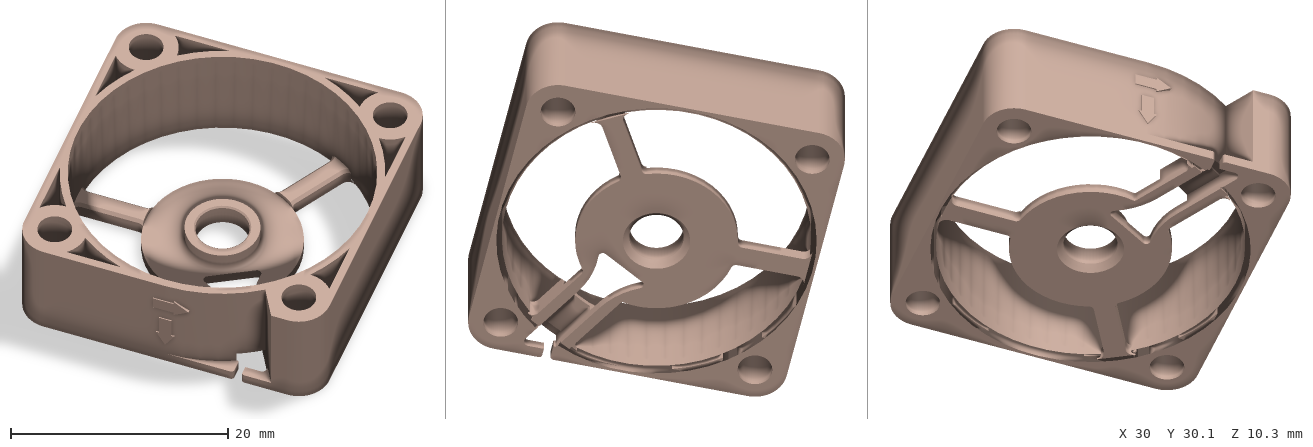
import cadquery as cq
import math

SIDE = 30.0
HEIGHT = 10.3
CORNER_RADIUS = 3.0
HOLE_DIAMETER = 3.2
BORE_RADIUS = 14.25
BORE_FILLET = 0.5
RIM_RADIUS = SIDE / 2
LEDGE_HEIGHT = 1.0
SKIN = SIDE / 2 - BORE_RADIUS
HOLE_OFFSET = SIDE / 2 - CORNER_RADIUS

HUB_RADIUS = 7.5
HUB_HEIGHT = 1.0
BOSS_RADIUS = 3.5
BOSS_TOP = 2.7
BOSS_FILLET = 0.5
BEARING_RADIUS = 2.5
BEARING_TOP_CHAMFER = 0.15
BEARING_BOTTOM_CHAMFER = 0.6

SPOKE_ANGLES = (60, 180)
SPOKE_HALF_WIDTH = 1.0
SPOKE_HEIGHT = 1.5
SPOKE_CHAMFER = 0.28
SPOKE_HUB_FLARE = 0.5
SPOKE_RIM_FLARE = 0.8
RIM_OVERLAP = 0.05

CABLE_ANGLE = -60
CABLE_CENTER = 0.15
CABLE_HALF_WIDTH = 1.35
CABLE_SPOKE_HALF_WIDTH = 2.4
CABLE_SPOKE_HUB_FLARE = 0.4
CABLE_SPOKE_RIM_FLARE = 0.7
BRIDGE_RADIUS = 10.4
BRIDGE_TOP = 2.2
BRIDGE_UNDERSIDE = 1.7
NOTCH_TOP = 1.95
WINDOW_START = 4.25
WINDOW_WAIST = 9.0
WINDOW_HALF_WIDTH = 3.1
WINDOW_FILLET = 0.4
CABLE_EDGE = CABLE_CENTER + CABLE_HALF_WIDTH

SLIT_START = 6.67
SLIT_WIDTH = 0.8
LIP_THICKNESS = 1.0
LIP_LEFT_FILLET = 0.3
LIP_BACK_FILLET = 0.12
LIP_RIGHT_FILLET = 0.25
LIP_INNER_FILLET = 0.5

ARROW_RELIEF = 0.1
ARROW_DEPTH = 0.4
ARROW_SHAFT_LENGTH = 2.05
ARROW_SHAFT_WIDTH = 1.2
ARROW_HEAD_LENGTH = 1.45
ARROW_HEAD_WIDTH = 1.8
FLOW_ARROW_TAIL = (0.0, 5.8)
SPIN_ARROW_TAIL = (-1.2, 7.65)


def cylinder(radius, bottom, top):
    return cq.Workplane("XY").workplane(offset=bottom).circle(radius).extrude(top - bottom)


def box(x_range, y_range, z_range):
    size = [end - start for start, end in (x_range, y_range, z_range)]
    corner = (x_range[0], y_range[0], z_range[0])
    return cq.Workplane("XY").box(*size, centered=False).translate(corner)


def turned(shape, angle):
    return shape.rotate((0, 0, 0), (0, 0, 1), angle)


def frame_block():
    block = cq.Workplane("XY").rect(SIDE, SIDE).extrude(HEIGHT).edges("|Z").fillet(CORNER_RADIUS)
    block = block.cut(cylinder(BORE_RADIUS, 0, HEIGHT))
    largest = cq.selectors.RadiusNthSelector(-1)
    return block.faces("<Z").edges("%CIRCLE").edges(largest).fillet(BORE_FILLET)


def mounting_holes():
    spacing = 2 * HOLE_OFFSET
    centers = cq.Workplane("XY").rect(spacing, spacing, forConstruction=True).vertices()
    return centers.circle(HOLE_DIAMETER / 2).extrude(HEIGHT)


def corner_pockets():
    """Seven three-sided pockets between ring wall, screw bosses and outer skin."""
    outer = SIDE / 2 - SKIN
    pocket = box((0, HOLE_OFFSET), (HOLE_OFFSET - CORNER_RADIUS, outer), (LEDGE_HEIGHT, HEIGHT))
    pocket = pocket.cut(cylinder(RIM_RADIUS, 0, HEIGHT))
    screw_boss = cylinder(CORNER_RADIUS, 0, HEIGHT).translate((HOLE_OFFSET, HOLE_OFFSET, 0))
    pocket = pocket.cut(screw_boss)
    mirrored = pocket.mirror("YZ")
    pockets = pocket.union(mirrored)
    for quarter in (1, 2, 3):
        pockets = pockets.union(turned(pocket, 90 * quarter))
    for quarter in (1, 3):
        pockets = pockets.union(turned(mirrored, 90 * quarter))
    return pockets


def front_cutaway():
    """Space outside the ring wall, right of centre, ending in a face parallel to the cable."""
    levels = (LEDGE_HEIGHT, HEIGHT)
    swath = turned(box((0, SIDE), (-SIDE, CABLE_EDGE), levels), CABLE_ANGLE)
    front = box((0, SIDE / 2), (-SIDE / 2, 0), levels)
    return swath.intersect(front).cut(cylinder(RIM_RADIUS, 0, HEIGHT))


def ledge_opening():
    """Cable drop behind the front lip, and the slit that opens it to the front."""
    slit_end = SLIT_START + SLIT_WIDTH
    front = -SIDE / 2
    lip_back = front + LIP_THICKNESS
    levels = (0, LEDGE_HEIGHT)
    drop = box((SLIT_START, SIDE / 2), (lip_back, 0), levels)
    run = turned(box((0, SIDE), (-SIDE, CABLE_EDGE), levels), CABLE_ANGLE)
    drop = drop.intersect(run).edges("|Z").edges(">X").fillet(LIP_INNER_FILLET)
    slit = box((SLIT_START, slit_end), (front, 0), levels)
    opening = drop.union(slit)
    opening = opening.union(corner_round(SLIT_START, -1, LIP_LEFT_FILLET))
    opening = opening.union(corner_round(slit_end, 1, LIP_RIGHT_FILLET))
    return opening.cut(cylinder(RIM_RADIUS, 0, HEIGHT))


def corner_round(x, side, radius):
    """Waste that rounds the front corner of the slit at x; side points into the lip."""
    front = -SIDE / 2
    return (
        cq.Workplane("XY")
        .moveTo(x, front)
        .lineTo(x + side * radius, front)
        .radiusArc((x, front + radius), side * radius)
        .close()
        .extrude(LEDGE_HEIGHT)
    )


def round_lip_back(part):
    """Round the sharp rear corner of the left lip, where the slit meets the ring wall circle."""
    corner_y = -math.sqrt(RIM_RADIUS ** 2 - SLIT_START ** 2)
    corner = cq.selectors.NearestToPointSelector((SLIT_START, corner_y, LEDGE_HEIGHT / 2))
    return part.edges("|Z").edges(corner).fillet(LIP_BACK_FILLET)


def hub():
    profile = (
        cq.Workplane("XZ")
        .moveTo(BEARING_RADIUS + BEARING_BOTTOM_CHAMFER, 0)
        .lineTo(HUB_RADIUS, 0)
        .lineTo(HUB_RADIUS, HUB_HEIGHT)
        .lineTo(BOSS_RADIUS + BOSS_FILLET, HUB_HEIGHT)
        .radiusArc((BOSS_RADIUS, HUB_HEIGHT + BOSS_FILLET), BOSS_FILLET)
        .lineTo(BOSS_RADIUS, BOSS_TOP)
        .lineTo(BEARING_RADIUS + BEARING_TOP_CHAMFER, BOSS_TOP)
        .lineTo(BEARING_RADIUS, BOSS_TOP - BEARING_TOP_CHAMFER)
        .lineTo(BEARING_RADIUS, BEARING_BOTTOM_CHAMFER)
        .close()
    )
    return profile.revolve(360, (0, 0, 0), (0, 1, 0))


def flared_bar(half, hub_flare, rim_flare, end, height):
    """Bar along +X from the hub to a given end, widened at both ends by concave arcs."""
    hub_half = half + hub_flare
    rim_half = half + rim_flare
    start = math.sqrt(HUB_RADIUS ** 2 - hub_half ** 2)
    return (
        cq.Workplane("XY")
        .moveTo(start, -hub_half)
        .radiusArc((start + hub_flare, -half), hub_flare)
        .lineTo(end - rim_flare, -half)
        .radiusArc((end, -rim_half), rim_flare)
        .lineTo(end, rim_half)
        .radiusArc((end - rim_flare, half), rim_flare)
        .lineTo(start + hub_flare, half)
        .radiusArc((start, hub_half), hub_flare)
        .close()
        .extrude(height)
    )


def narrow_spoke():
    end = BORE_RADIUS + RIM_OVERLAP
    bar = flared_bar(SPOKE_HALF_WIDTH, SPOKE_HUB_FLARE, SPOKE_RIM_FLARE, end, SPOKE_HEIGHT)
    bar = bar.faces(">Z").edges("not (<X or >X)").chamfer(SPOKE_CHAMFER)
    return bar.cut(cylinder(HUB_RADIUS, 0, HEIGHT))


def cable_spoke():
    """Wide spoke from the hub to the wall, stepping up to a bridge over the cable."""
    half = CABLE_SPOKE_HALF_WIDTH
    rim_half = half + CABLE_SPOKE_RIM_FLARE
    end = math.sqrt(BORE_RADIUS ** 2 - rim_half ** 2) + RIM_OVERLAP
    bar = flared_bar(half, CABLE_SPOKE_HUB_FLARE, CABLE_SPOKE_RIM_FLARE, end, BRIDGE_TOP)
    inner = BOSS_RADIUS + BOSS_FILLET
    bar = bar.union(box((inner, BORE_RADIUS + RIM_OVERLAP), (-half, half), (0, BRIDGE_TOP)))
    bar = turned(bar.translate((0, CABLE_CENTER, 0)), CABLE_ANGLE)
    return bar.cut(cylinder(BRIDGE_RADIUS, HUB_HEIGHT, BRIDGE_TOP))


def cable_window():
    """Hub opening whose sides narrow in arcs to the width of the cable channel."""
    flare = WINDOW_HALF_WIDTH - CABLE_HALF_WIDTH
    length = WINDOW_WAIST - WINDOW_START
    side_radius = (length ** 2 + flare ** 2) / (2 * flare)
    window = (
        cq.Workplane("XY")
        .moveTo(WINDOW_START, -WINDOW_HALF_WIDTH)
        .radiusArc((WINDOW_WAIST, -CABLE_HALF_WIDTH), side_radius)
        .lineTo(BRIDGE_RADIUS, -CABLE_HALF_WIDTH)
        .lineTo(BRIDGE_RADIUS, CABLE_HALF_WIDTH)
        .lineTo(WINDOW_WAIST, CABLE_HALF_WIDTH)
        .radiusArc((WINDOW_START, WINDOW_HALF_WIDTH), side_radius)
        .close()
        .extrude(HUB_HEIGHT)
        .edges("|Z and <X")
        .fillet(WINDOW_FILLET)
    )
    window = turned(window.translate((0, CABLE_CENTER, 0)), CABLE_ANGLE)
    return window.intersect(cylinder(BRIDGE_RADIUS, 0, HUB_HEIGHT))


def cable_channel():
    """Passage under the bridge, and the slightly taller outlet through the ring wall."""
    sides = (CABLE_CENTER - CABLE_HALF_WIDTH, CABLE_EDGE)
    passage = turned(box((HUB_RADIUS, SIDE), sides, (0, BRIDGE_UNDERSIDE)), CABLE_ANGLE)
    outlet = turned(box((HUB_RADIUS, SIDE), sides, (0, NOTCH_TOP)), CABLE_ANGLE)
    outlet = outlet.cut(cylinder(BORE_RADIUS, 0, HEIGHT))
    channel = passage.union(outlet).cut(cylinder(BRIDGE_RADIUS, 0, HEIGHT))
    return channel.intersect(cylinder(RIM_RADIUS, 0, HEIGHT))


def arrow(tail, direction):
    """Arrow raised from the front face; direction is its angle from +X toward +Z."""
    tip = ARROW_SHAFT_LENGTH + ARROW_HEAD_LENGTH
    shaft = ARROW_SHAFT_WIDTH / 2
    head = ARROW_HEAD_WIDTH / 2
    outline = [
        (0, -shaft),
        (ARROW_SHAFT_LENGTH, -shaft),
        (ARROW_SHAFT_LENGTH, -head),
        (tip, 0),
        (ARROW_SHAFT_LENGTH, head),
        (ARROW_SHAFT_LENGTH, shaft),
        (0, shaft),
    ]
    x, z = tail
    origin = (x, -SIDE / 2 - ARROW_RELIEF, z)
    sketch_plane = cq.Plane(origin=origin, xDir=(1, 0, 0), normal=(0, -1, 0)).rotated((0, 0, direction))
    return cq.Workplane(sketch_plane).polyline(outline).close().extrude(-ARROW_DEPTH)


frame = frame_block().cut(corner_pockets()).cut(front_cutaway()).cut(ledge_opening())

spider = hub().union(cable_spoke()).cut(cable_window())

result = frame.union(spider)
for angle in SPOKE_ANGLES:
    result = result.union(turned(narrow_spoke(), angle))
result = result.cut(cable_channel()).cut(mounting_holes())
result = round_lip_back(result)
result = result.union(arrow(FLOW_ARROW_TAIL, -90)).union(arrow(SPIN_ARROW_TAIL, 0))